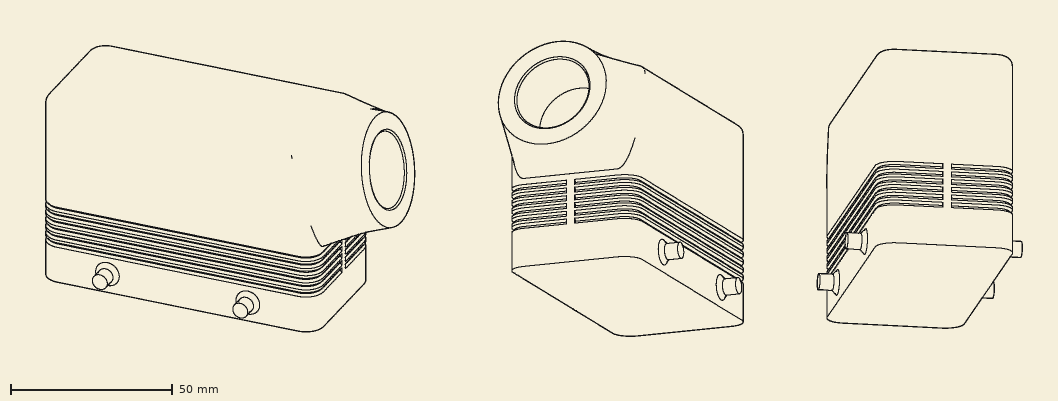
import cadquery as cq
import math

overall_length = 112.8
overall_width = 55.0
overall_height = 67.9

outlet_tilt = 14.2
outlet_length = 20.0
outlet_diameter = 36.0
bore_diameter = 24.0
bore_chamfer = 0.6
tilt_cos = math.cos(math.radians(outlet_tilt))
tilt_sin = math.sin(math.radians(outlet_tilt))

body_length = overall_length - outlet_length * tilt_cos
body_width = 43.2
seat_top_z = overall_height - outlet_length * tilt_sin
seat_bottom_z = seat_top_z - outlet_diameter * tilt_cos
body_height = seat_top_z
corner_radius = 6.0
top_fillet = 3.0

groove_count = 6
groove_pitch = 2.5
groove_opening = 1.6
groove_flank_angle = 45
grooves_bottom_z = 12.2
lowest_groove_z = grooves_bottom_z + groove_opening / 2
groove_gap = 2.8

peg_diameter = 5.1
peg_base_height = 1.5
peg_base_diameter = peg_diameter + 2 * peg_base_height
peg_spacing = 47.5
peg_z = 6.4

seat_center_x = body_length - outlet_diameter / 2 * tilt_sin
seat_center_z = seat_bottom_z + outlet_diameter / 2 * tilt_cos
seat_plane = cq.Plane(
    origin=(seat_center_x, 0, seat_center_z),
    xDir=(tilt_sin, 0, -tilt_cos),
    normal=(tilt_cos, 0, tilt_sin),
)


def make_body():
    """Round-cornered block, cut off by the inclined outlet seat."""
    block = (
        cq.Workplane("XY")
        .center(body_length / 2, 0)
        .rect(body_length, body_width)
        .extrude(body_height)
        .edges("|Z")
        .fillet(corner_radius)
        .faces(">Z")
        .edges()
        .fillet(top_fillet)
    )
    cut_size = 2 * overall_length
    beyond_seat = cq.Workplane(seat_plane).rect(cut_size, cut_size).extrude(cut_size)
    return block.cut(beyond_seat)


def make_outlet(body):
    """Blend from the body's inclined seat to the round outlet end."""
    seat_wire = body.faces(cq.selectors.ParallelDirSelector(seat_plane.zDir)).val().outerWire()
    end_plane = cq.Workplane(seat_plane).workplane(offset=outlet_length)
    end_wire = end_plane.circle(outlet_diameter / 2).wires().val()
    return cq.Workplane(cq.Solid.makeLoft([seat_wire, end_wire], True))


def make_bore():
    """Blind bore from the outlet end to the seat, chamfered at its mouth."""
    bore_radius = bore_diameter / 2
    bore = cq.Workplane(seat_plane).circle(bore_radius).extrude(outlet_length)
    mouth = cq.Workplane(
        cq.Solid.makeCone(
            bore_radius,
            bore_radius + bore_chamfer,
            bore_chamfer,
            pnt=seat_plane.toWorldCoords((0, 0, outlet_length - bore_chamfer)),
            dir=seat_plane.zDir,
        )
    )
    return bore.union(mouth)


def rounded_outline(z):
    """Body outline at the given height."""
    return (
        cq.Sketch()
        .rect(body_length, body_width)
        .vertices()
        .fillet(corner_radius)
        .moved(cq.Location(cq.Vector(body_length / 2, 0, z)))
    )


def make_groove(center_z):
    """V-groove around the body, interrupted at the middle of both end walls."""
    half_opening = groove_opening / 2
    bottom_z = center_z - half_opening
    top_z = center_z + half_opening
    bottom = cq.Workplane().placeSketch(rounded_outline(bottom_z))
    top = cq.Workplane().placeSketch(rounded_outline(top_z))
    ring = bottom.extrude(groove_opening)
    lower_core = bottom.extrude(half_opening, taper=groove_flank_angle)
    upper_core = top.extrude(-half_opening, taper=groove_flank_angle)
    gap = cq.Workplane("XY", origin=(body_length / 2, 0, center_z)).box(
        2 * body_length, groove_gap, 2 * groove_opening
    )
    return ring.cut(lower_core).cut(upper_core).cut(gap)


def make_peg_pair(x):
    """Two opposite cylindrical pegs with conical bases, one on each long wall."""
    wall_y = body_width / 2
    base_end_y = wall_y + peg_base_height
    tip_y = overall_width / 2
    peg = (
        cq.Workplane("XY", origin=(x, 0, peg_z))
        .moveTo(0, 0)
        .lineTo(peg_base_diameter / 2, 0)
        .lineTo(peg_base_diameter / 2, wall_y)
        .lineTo(peg_diameter / 2, base_end_y)
        .lineTo(peg_diameter / 2, tip_y)
        .lineTo(0, tip_y)
        .close()
        .revolve(360, (0, 0), (0, 1))
    )
    return peg.union(peg.mirror("XZ"))


body = make_body()
result = body.union(make_outlet(body)).cut(make_bore())

for index in range(groove_count):
    result = result.cut(make_groove(lowest_groove_z + index * groove_pitch))

for side in (-1, 1):
    result = result.union(make_peg_pair(body_length / 2 + side * peg_spacing / 2))